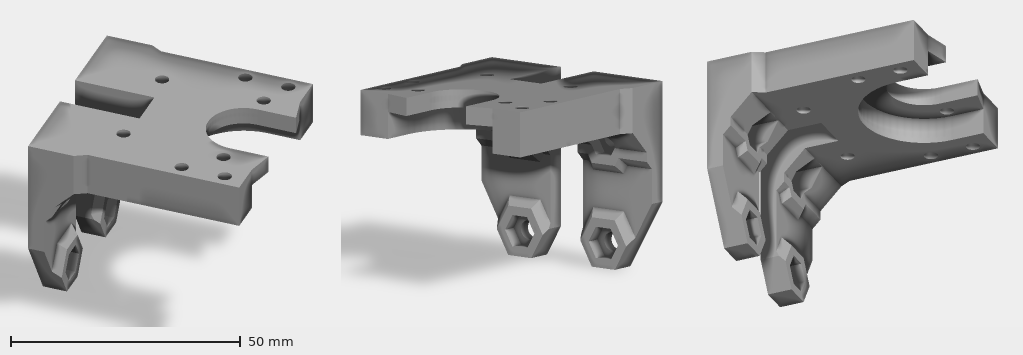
import cadquery as cq
import math

LENGTH = 50.2
WIDTH = 47.0
HEIGHT = 42.0

PLATE_THICKNESS = 10.0
PLATE_WIDTH = 44.0
PLATE_END = 48.75
STEP_START = 10.65
STEP_END = 13.3

ARM_THICKNESS = 5.6
ARM_GAP = 8.95
GAP_DEPTH = 18.6
RELIEF_DEPTH = 1.85

HOLE_SPACING = 23.0
ARM_HOLE_DIAMETER = 4.1
NUT_FLATS = 7.0
NUT_SEAT_X = 2.5
BOSS_APOTHEM = 5.45
HEX_CORNER_RATIO = 1 / math.cos(math.radians(30))
HOLE_Y = HOLE_SPACING / 2
LOWER_HOLE_Z = BOSS_APOTHEM - HEIGHT
UPPER_HOLE_Z = LOWER_HOLE_Z + HOLE_SPACING
ARM_HOLE_CENTERS = [(y, z) for y in (-HOLE_Y, HOLE_Y) for z in (UPPER_HOLE_Z, LOWER_HOLE_Z)]

OPENING_X = 41.15
OPENING_RADIUS = 8.25
RECESS_RADIUS = 14.4
LIP_THICKNESS = 4.0

PLATE_HOLE_DIAMETER = 3.1
ROOT_HOLE_X = 17.5
ROOT_HOLE_SHIFT = 0.2
LIP_HOLES = [
    (OPENING_X, 12.0),
    (34.15, 19.0),
    (44.2, 19.0),
]


def plate_outline():
    """Top outline: wide root, narrower plate and two pointed lip ends."""
    half_side = [
        (0, WIDTH / 2),
        (STEP_START, WIDTH / 2),
        (STEP_END, PLATE_WIDTH / 2),
        (PLATE_END, PLATE_WIDTH / 2),
        (PLATE_END, RECESS_RADIUS),
        (LENGTH, OPENING_RADIUS),
    ]
    other_side = [(x, -y) for x, y in reversed(half_side)]
    return cq.Workplane("XY").polyline(half_side + other_side).close()


def side_profile():
    """L-shaped side profile with a 45 degree web in its inner corner."""
    web = STEP_START - ARM_THICKNESS
    points = [
        (0, 0),
        (LENGTH, 0),
        (LENGTH, -PLATE_THICKNESS),
        (STEP_START, -PLATE_THICKNESS),
        (ARM_THICKNESS, -PLATE_THICKNESS - web),
        (ARM_THICKNESS, -HEIGHT),
        (0, -HEIGHT),
    ]
    return cq.Workplane("XZ").polyline(points).close()


def arm_front(side):
    """Front outline of one arm, its foot following the lower half of the boss hexagon."""
    half_flat = BOSS_APOTHEM * math.tan(math.radians(30))
    slope = math.tan(math.radians(60))
    inner_y = ARM_GAP / 2
    outer_y = WIDTH / 2
    inner_foot = HOLE_Y - half_flat
    outer_foot = HOLE_Y + half_flat
    points = [
        (side * inner_y, 0),
        (side * outer_y, 0),
        (side * outer_y, -HEIGHT + slope * (outer_y - outer_foot)),
        (side * outer_foot, -HEIGHT),
        (side * inner_foot, -HEIGHT),
        (side * inner_y, -HEIGHT + slope * (inner_foot - inner_y)),
    ]
    return cq.Workplane("YZ").polyline(points).close().extrude(LENGTH)


def hex_boss(y, z):
    """Hexagonal boss with 45 degree flanks, standing on the relief floor."""
    return (
        cq.Workplane("YZ", origin=(ARM_THICKNESS, y, z))
        .polygon(6, 2 * BOSS_APOTHEM * HEX_CORNER_RATIO)
        .workplane(offset=-RELIEF_DEPTH)
        .polygon(6, 2 * (BOSS_APOTHEM + RELIEF_DEPTH) * HEX_CORNER_RATIO)
        .loft()
    )


def arm_relief():
    """Material removed from the back of both arms around the bosses."""
    floor_x = ARM_THICKNESS - RELIEF_DEPTH
    top_z = UPPER_HOLE_Z - BOSS_APOTHEM
    points = [
        (floor_x, top_z),
        (ARM_THICKNESS, top_z + RELIEF_DEPTH),
        (ARM_THICKNESS, -HEIGHT),
        (floor_x, -HEIGHT),
    ]
    relief = cq.Workplane("XZ").polyline(points).close().extrude(WIDTH / 2, both=True)
    for y, z in ARM_HOLE_CENTERS:
        relief = relief.cut(hex_boss(y, z))
    return relief


def u_cutter(radius, top_z):
    """U-shaped cutter open toward +X, reaching from top_z to below the plate."""
    return (
        cq.Workplane("XY", origin=(OPENING_X, 0, top_z))
        .moveTo(LENGTH, radius)
        .lineTo(0, radius)
        .threePointArc((-radius, 0), (0, -radius))
        .lineTo(LENGTH, -radius)
        .close()
        .extrude(-HEIGHT)
    )


body = plate_outline().extrude(-HEIGHT).intersect(side_profile().extrude(WIDTH / 2, both=True))
bridge = cq.Workplane("XY").box(LENGTH, WIDTH, HEIGHT, centered=(False, True, False))
bridge = bridge.translate((GAP_DEPTH, 0, -HEIGHT))
body = body.intersect(bridge.union(arm_front(1)).union(arm_front(-1)))
body = body.cut(arm_relief())

body = body.cut(u_cutter(OPENING_RADIUS, 0))
body = body.cut(u_cutter(RECESS_RADIUS, -LIP_THICKNESS))

plate_hole_centers = [(x, side * y) for x, y in LIP_HOLES for side in (-1, 1)]
plate_hole_centers += [(ROOT_HOLE_X, side * HOLE_Y + ROOT_HOLE_SHIFT) for side in (-1, 1)]
plate_holes = (
    cq.Workplane("XY")
    .pushPoints(plate_hole_centers)
    .circle(PLATE_HOLE_DIAMETER / 2)
    .extrude(-PLATE_THICKNESS)
)

arm_holes = (
    cq.Workplane("YZ")
    .pushPoints(ARM_HOLE_CENTERS)
    .circle(ARM_HOLE_DIAMETER / 2)
    .extrude(STEP_START)
)
nut_pockets = (
    cq.Workplane("YZ", origin=(NUT_SEAT_X, 0, 0))
    .pushPoints(ARM_HOLE_CENTERS)
    .polygon(6, NUT_FLATS * HEX_CORNER_RATIO)
    .extrude(STEP_START - NUT_SEAT_X)
)
result = body.cut(plate_holes).cut(arm_holes).cut(nut_pockets)